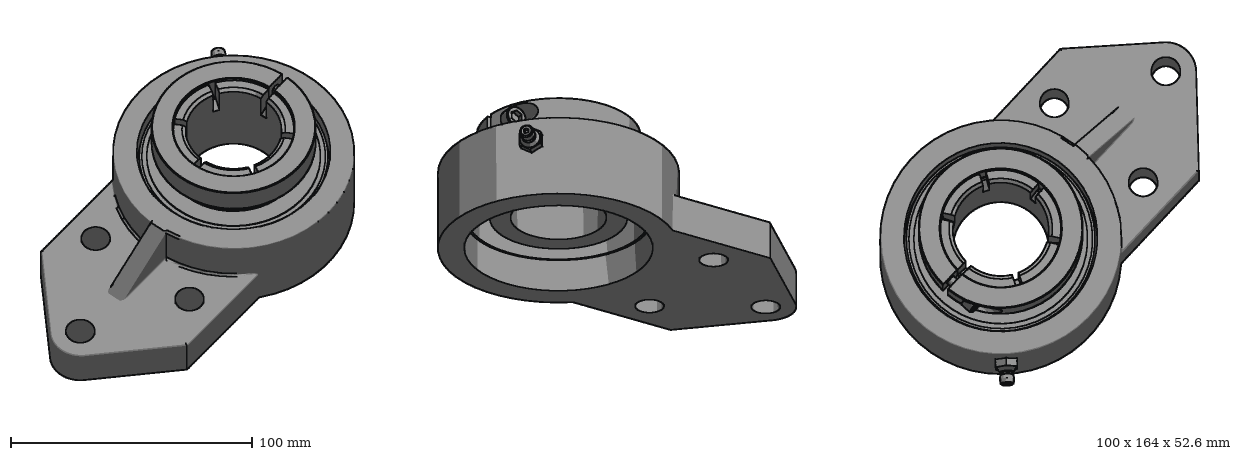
import cadquery as cq
import math


HEXAGON_SIDES = 6
SELECTION_MARGIN = 0.2

HOUSING_DIAMETER = 100.0
HOUSING_HEIGHT = 35.6
HOUSING_EDGE_ROUND = 1.0

PLATE_HALF_WIDTH = 38.9
PLATE_THICKNESS = 17.2
PLATE_EDGE_ROUND = 1.5
SHOULDER_Y = -79.2
TIP_HOLE_Y = -101.4
TIP_RADIUS = 12.6
BOLT_HOLE_DIAMETER = 12.0
SIDE_HOLE_X = 25.0
SIDE_HOLE_Y = -60.2

RIB_WIDTH = 8.4
RIB_TOP_Y = -50.0
RIB_END_Y = -79.2
RIB_EDGE_ROUND = 1.3
RIB_OVERLAP = 3.3
BASE_FILLET = 1.0

BALL_DIAMETER = 80.2
BEARING_Z = 23.1
RING_HALF_WIDTH = 9.0
OUTER_RING_BORE_DIAMETER = 76.1
RING_BOTTOM = BEARING_Z - RING_HALF_WIDTH
RING_TOP = BEARING_Z + RING_HALF_WIDTH

SEAL_TOP = 32.5
SEAL_THICKNESS = 1.6
SEAL_STEP_DIAMETER = 72.0
SEAL_STEP_HEIGHT = 0.3

SHAFT_DIAMETER = 39.7
SHOULDER_DIAMETER = 57.0
SHOULDER_RISE = 0.3
INNER_RING_DIAMETER = 56.0
SLEEVE_DIAMETER = 49.9
INNER_RING_TOP = 51.3
BORE_CHAMFER_WIDTH = 1.55
BORE_CHAMFER_DEPTH = 1.0
SLOT_COUNT = 6
FIRST_SLOT_ANGLE = 90
SLOT_WIDTH = 2.8
SLOT_FLOOR_Z = 38.9
SLOT_FLOOR_RISE = 2.6
SLOT_SLOPE_RADIUS = 24.0

COLLAR_DIAMETER = 68.0
COLLAR_BORE_DIAMETER = 50.2
COLLAR_BOTTOM = 41.3
COLLAR_TOP = 52.6
COLLAR_EDGE_CHAMFER = 0.3

SCREW_Y = 29.4
SCREW_Z = 47.0
SCREW_HEAD_START_X = -14.3
SCREW_HEAD_LENGTH = 5.2
SCREW_HEAD_DIAMETER = 9.3
SCREW_HEAD_CHAMFER = 0.5
SCREW_SHANK_DIAMETER = 4.1
SCREW_SHANK_START_X = SCREW_HEAD_START_X + SCREW_HEAD_LENGTH
SCREW_SHANK_LENGTH = 18.9
SOCKET_ACROSS_CORNERS = 5.7
SOCKET_DEPTH = 2.5

NIPPLE_ANGLE = 135
NIPPLE_Z = 24.8
STEM_DIAMETER = 5.7
STEM_START = 42.6
HEX_ACROSS_FLATS = 9.0
HEX_START = 49.2
HEX_END = 53.1
CONE_DIAMETER = 8.5
CONE_END_DIAMETER = 5.7
CONE_END = 54.8
NECK_DIAMETER = 4.1
NECK_START = 55.1
NECK_END = 56.0
HEAD_BASE_DIAMETER = 5.5
HEAD_BASE = 56.3
HEAD_DIAMETER = 6.0
HEAD_WIDEST = 57.9
HEAD_SHOULDER = 59.7
TIP_DIAMETER = 4.5
NIPPLE_TIP = 60.2
GREASE_HOLE_DIAMETER = 2.1
GREASE_HOLE_DEPTH = 1.6


def disc(diameter, bottom, top):
    return cq.Workplane("XY").workplane(offset=bottom).circle(diameter / 2).extrude(top - bottom)


def turned(profile):
    """Revolve a closed profile of (diameter, z) points about the Z axis."""
    points = [(diameter / 2, z) for diameter, z in profile]
    return cq.Workplane("XZ").polyline(points).close().revolve(360, (0, 0), (0, 1))


def ball_slice(bottom, top):
    ball = cq.Workplane("XY").sphere(BALL_DIAMETER / 2).translate((0, 0, BEARING_Z))
    return ball.intersect(disc(BALL_DIAMETER, bottom, top))


def screw_rod(diameter, start_x, length):
    """A round rod along the screw axis."""
    return cq.Workplane("YZ", origin=(start_x, SCREW_Y, SCREW_Z)).circle(diameter / 2).extrude(length)


def make_plate():
    shoulder_rise = SHOULDER_Y - TIP_HOLE_Y
    shoulder_distance = math.hypot(PLATE_HALF_WIDTH, shoulder_rise)
    tangent_angle = math.atan2(shoulder_rise, PLATE_HALF_WIDTH) - math.acos(TIP_RADIUS / shoulder_distance)
    tangent_x = TIP_RADIUS * math.cos(tangent_angle)
    tangent_y = TIP_HOLE_Y + TIP_RADIUS * math.sin(tangent_angle)
    plate = (
        cq.Workplane("XY")
        .moveTo(-PLATE_HALF_WIDTH, 0)
        .lineTo(-PLATE_HALF_WIDTH, SHOULDER_Y)
        .lineTo(-tangent_x, tangent_y)
        .threePointArc((0, TIP_HOLE_Y - TIP_RADIUS), (tangent_x, tangent_y))
        .lineTo(PLATE_HALF_WIDTH, SHOULDER_Y)
        .lineTo(PLATE_HALF_WIDTH, 0)
        .close()
        .extrude(PLATE_THICKNESS)
    )
    return plate.faces(">Z").edges("not(>Y)").fillet(PLATE_EDGE_ROUND)


def make_rib():
    inner_y = RIB_TOP_Y + RIB_OVERLAP
    foot_z = PLATE_THICKNESS - RIB_OVERLAP
    rib = (
        cq.Workplane("YZ")
        .polyline([
            (inner_y, foot_z),
            (inner_y, HOUSING_HEIGHT),
            (RIB_TOP_Y, HOUSING_HEIGHT),
            (RIB_END_Y, PLATE_THICKNESS),
            (RIB_END_Y, foot_z),
        ])
        .close()
        .extrude(RIB_WIDTH / 2, both=True)
    )
    side_edges = rib.edges("not(|X)").edges("not(|Y)").edges("not(|Z)")
    return side_edges.fillet(RIB_EDGE_ROUND)


def make_housing(nipple):
    drum = disc(HOUSING_DIAMETER, 0, HOUSING_HEIGHT).faces(">Z").edges().fillet(HOUSING_EDGE_ROUND)
    housing = drum.union(make_plate()).union(make_rib())

    margin = SELECTION_MARGIN
    meeting_edges = cq.selectors.BoxSelector(
        (-PLATE_HALF_WIDTH + PLATE_EDGE_ROUND + margin, RIB_END_Y - margin, PLATE_THICKNESS - margin),
        (PLATE_HALF_WIDTH - PLATE_EDGE_ROUND - margin, 0, PLATE_THICKNESS + margin),
    )
    housing = housing.edges(meeting_edges).fillet(BASE_FILLET)

    seat_bottom_diameter = 2 * math.sqrt((BALL_DIAMETER / 2) ** 2 - RING_HALF_WIDTH**2)
    housing = (
        housing.cut(disc(seat_bottom_diameter, 0, RING_BOTTOM))
        .cut(ball_slice(RING_BOTTOM, BEARING_Z))
        .cut(disc(BALL_DIAMETER, BEARING_Z, HOUSING_HEIGHT))
    )

    bolt_holes = (
        cq.Workplane("XY")
        .pushPoints([(-SIDE_HOLE_X, SIDE_HOLE_Y), (SIDE_HOLE_X, SIDE_HOLE_Y), (0, TIP_HOLE_Y)])
        .circle(BOLT_HOLE_DIAMETER / 2)
        .extrude(PLATE_THICKNESS)
    )
    return housing.cut(bolt_holes).cut(nipple)


def make_outer_ring():
    return ball_slice(RING_BOTTOM, RING_TOP).cut(disc(OUTER_RING_BORE_DIAMETER, RING_BOTTOM, RING_TOP))


def make_seal():
    rim_top = SEAL_TOP - SEAL_STEP_HEIGHT
    bottom = rim_top - SEAL_THICKNESS
    return turned([
        (SHOULDER_DIAMETER, bottom),
        (OUTER_RING_BORE_DIAMETER, bottom),
        (OUTER_RING_BORE_DIAMETER, rim_top),
        (SEAL_STEP_DIAMETER, rim_top),
        (SEAL_STEP_DIAMETER, SEAL_TOP),
        (SHOULDER_DIAMETER, SEAL_TOP),
    ])


def make_inner_ring():
    shoulder_top = SEAL_TOP + SHOULDER_RISE
    ring = turned([
        (SHAFT_DIAMETER, RING_BOTTOM),
        (SHOULDER_DIAMETER, RING_BOTTOM),
        (SHOULDER_DIAMETER, shoulder_top),
        (INNER_RING_DIAMETER, shoulder_top),
        (INNER_RING_DIAMETER, COLLAR_BOTTOM),
        (SLEEVE_DIAMETER, COLLAR_BOTTOM),
        (SLEEVE_DIAMETER, INNER_RING_TOP),
        (SHAFT_DIAMETER + 2 * BORE_CHAMFER_WIDTH, INNER_RING_TOP),
        (SHAFT_DIAMETER, INNER_RING_TOP - BORE_CHAMFER_DEPTH),
    ])
    slot_start = SHAFT_DIAMETER / 2 - SLOT_WIDTH
    slot_end = SLEEVE_DIAMETER / 2
    outer_floor_z = SLOT_FLOOR_Z + SLOT_FLOOR_RISE
    slot = (
        cq.Workplane("XZ")
        .polyline([
            (slot_start, SLOT_FLOOR_Z),
            (SHAFT_DIAMETER / 2, SLOT_FLOOR_Z),
            (SLOT_SLOPE_RADIUS, outer_floor_z),
            (slot_end, outer_floor_z),
            (slot_end, INNER_RING_TOP),
            (slot_start, INNER_RING_TOP),
        ])
        .close()
        .extrude(SLOT_WIDTH / 2, both=True)
    )
    for index in range(SLOT_COUNT):
        angle = FIRST_SLOT_ANGLE + index * 360 / SLOT_COUNT
        ring = ring.cut(slot.rotate((0, 0, 0), (0, 0, 1), angle))
    return ring


def make_collar():
    collar = disc(COLLAR_DIAMETER, COLLAR_BOTTOM, COLLAR_TOP)
    collar = collar.cut(disc(COLLAR_BORE_DIAMETER, COLLAR_BOTTOM, COLLAR_TOP))
    collar = collar.edges("<Z or >Z").chamfer(COLLAR_EDGE_CHAMFER)
    slit = cq.Workplane("XY").box(SLOT_WIDTH, COLLAR_DIAMETER, COLLAR_TOP, centered=(True, False, False))
    pocket_start_x = -COLLAR_DIAMETER / 2
    head_pocket = screw_rod(SCREW_HEAD_DIAMETER, pocket_start_x, SCREW_SHANK_START_X - pocket_start_x)
    shank_hole = screw_rod(SCREW_SHANK_DIAMETER, SCREW_SHANK_START_X, SCREW_SHANK_LENGTH)
    return collar.cut(slit).cut(head_pocket).cut(shank_hole)


def make_screw():
    head = screw_rod(SCREW_HEAD_DIAMETER, SCREW_HEAD_START_X, SCREW_HEAD_LENGTH)
    head = head.faces("<X").edges().chamfer(SCREW_HEAD_CHAMFER)
    shank = screw_rod(SCREW_SHANK_DIAMETER, SCREW_SHANK_START_X, SCREW_SHANK_LENGTH)
    socket = (
        cq.Workplane("YZ", origin=(SCREW_HEAD_START_X, SCREW_Y, SCREW_Z))
        .transformed(rotate=(0, 0, 90))
        .polygon(HEXAGON_SIDES, SOCKET_ACROSS_CORNERS)
        .extrude(SOCKET_DEPTH)
    )
    return head.union(shank).cut(socket)


def make_nipple():
    body = turned([
        (0, STEM_START),
        (STEM_DIAMETER, STEM_START),
        (STEM_DIAMETER, HEX_END),
        (CONE_DIAMETER, HEX_END),
        (CONE_END_DIAMETER, CONE_END),
        (NECK_DIAMETER, NECK_START),
        (NECK_DIAMETER, NECK_END),
        (HEAD_BASE_DIAMETER, HEAD_BASE),
        (HEAD_DIAMETER, HEAD_WIDEST),
        (HEAD_BASE_DIAMETER, HEAD_SHOULDER),
        (TIP_DIAMETER, NIPPLE_TIP),
        (0, NIPPLE_TIP),
    ])
    across_corners = HEX_ACROSS_FLATS / math.cos(math.pi / 6)
    hexagon = (
        cq.Workplane("XY")
        .workplane(offset=HEX_START)
        .polygon(HEXAGON_SIDES, across_corners)
        .extrude(HEX_END - HEX_START)
    )
    grease_hole = disc(GREASE_HOLE_DIAMETER, NIPPLE_TIP - GREASE_HOLE_DEPTH, NIPPLE_TIP)
    return (
        body.union(hexagon)
        .cut(grease_hole)
        .rotate((0, 0, 0), (0, 1, 0), 90)
        .rotate((0, 0, 0), (0, 0, 1), NIPPLE_ANGLE)
        .translate((0, 0, NIPPLE_Z))
    )


nipple = make_nipple()
housing = make_housing(nipple)
outer_ring = make_outer_ring()
seal = make_seal()
inner_ring = make_inner_ring()
collar = make_collar()
screw = make_screw()

result = cq.Compound.makeCompound([
    housing.val(),
    outer_ring.val(),
    seal.val(),
    inner_ring.val(),
    collar.val(),
    screw.val(),
    nipple.val(),
])